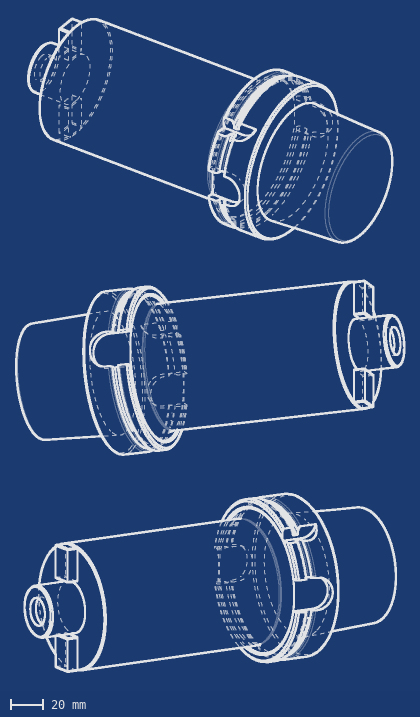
import cadquery as cq

total_length = 234.0
pilot_length = 24.0
flange_width = 29.5
taper_length = 49.5
flange_back = total_length - taper_length
flange_front = flange_back - flange_width

pilot_radius = 32.0 / 2
pilot_chamfer_length = 1.2
pilot_chamfer_rise = 0.7
screw_hole_diameter = 17.0
screw_hole_depth = 4.0

body_radius = 78.0 / 2
body_chamfer = 0.7
neck_radius = 77.5 / 2
neck_start = 148.1
neck_bevel = 1.2
neck_fillet = 5.5

flange_radius = 100.0 / 2
flange_chamfer = 1.2
face_relief_radius = 45.5
face_relief_depth = 0.58
groove_center = 164.3
groove_mouth = 5.8
groove_bevel_depth = 1.9
groove_floor_width = 3.7
groove_floor_radius = 46.0
groove_mouth_fillet = 1.5
groove_floor_fillet = 1.0

taper_large_radius = 38.0
taper_small_radius = 35.5
taper_end_fillet = 1.6

key_width = 14.0
key_height = 7.0
key_inner = 17.3
key_outer = 38.4
key_end_chamfer = 0.58

slot_floor = 44.0
slot_end = 179.5
slot_corner_radius = 10.0
near_slot_width = 2 * slot_corner_radius
far_slot_width = 22.0

notch_offset = 31.4
notch_run = 169.0
notch_radius = 10.0


def circle_at(x):
    """Selector for the full circular edges centred on the axis at position x."""
    tolerance = 0.02
    return cq.selectors.BoxSelector(
        (x - tolerance, -tolerance, -tolerance), (x + tolerance, tolerance, tolerance)
    )


def revolved_body():
    """Turned shape: the half outline revolved about the X axis."""
    relief_x = flange_front + face_relief_depth
    outline = (
        cq.Workplane("XY")
        .lineTo(0, pilot_radius - pilot_chamfer_rise)
        .lineTo(pilot_chamfer_length, pilot_radius)
        .lineTo(pilot_length, pilot_radius)
        .lineTo(pilot_length, body_radius - body_chamfer)
        .lineTo(pilot_length + body_chamfer, body_radius)
        .lineTo(neck_start, body_radius)
        .lineTo(neck_start + neck_bevel, neck_radius)
        .lineTo(relief_x - neck_fillet, neck_radius)
        .radiusArc((relief_x, neck_radius + neck_fillet), -neck_fillet)
        .lineTo(flange_front, face_relief_radius)
        .lineTo(flange_front, flange_radius - flange_chamfer)
        .lineTo(flange_front + flange_chamfer, flange_radius)
        .lineTo(flange_back - flange_chamfer, flange_radius)
        .lineTo(flange_back, flange_radius - flange_chamfer)
        .lineTo(flange_back, taper_large_radius)
        .lineTo(total_length, taper_small_radius)
        .lineTo(total_length, 0)
        .close()
    )
    turned = outline.revolve(360, (0, 0, 0), (1, 0, 0))
    return turned.faces(">X").edges().fillet(taper_end_fillet)


def cut_gripper_groove(body):
    """Square-walled groove with a bevelled, rounded mouth and rounded floor corners."""
    mouth_edges = (groove_center - groove_mouth / 2, groove_center + groove_mouth / 2)
    floor_edges = (groove_center - groove_floor_width / 2, groove_center + groove_floor_width / 2)
    wall_top = flange_radius - groove_bevel_depth
    outline = (
        cq.Workplane("XY")
        .moveTo(mouth_edges[0], flange_radius)
        .lineTo(floor_edges[0], wall_top)
        .lineTo(floor_edges[0], groove_floor_radius + groove_floor_fillet)
        .radiusArc((floor_edges[0] + groove_floor_fillet, groove_floor_radius), -groove_floor_fillet)
        .lineTo(floor_edges[1] - groove_floor_fillet, groove_floor_radius)
        .radiusArc((floor_edges[1], groove_floor_radius + groove_floor_fillet), -groove_floor_fillet)
        .lineTo(floor_edges[1], wall_top)
        .lineTo(mouth_edges[1], flange_radius)
        .close()
    )
    grooved = body.cut(outline.revolve(360, (0, 0, 0), (1, 0, 0)))
    for x in mouth_edges:
        grooved = grooved.edges(circle_at(x)).fillet(groove_mouth_fillet)
    return grooved


def screw_hole():
    return cq.Workplane("YZ").circle(screw_hole_diameter / 2).extrude(screw_hole_depth)


def drive_key(side):
    """Block standing on the body face; side is +1 above the axis, -1 below."""
    block = (
        cq.Workplane("YZ", origin=(pilot_length - key_height, 0, 0))
        .center(0, side * (key_inner + key_outer) / 2)
        .rect(key_width, key_outer - key_inner)
        .extrude(key_height + body_chamfer)
    )
    end_edges = block.faces(">Z or <Z").edges("not >X")
    return end_edges.chamfer(key_end_chamfer)


def drive_slot(side, width):
    """Slot open at the flange front with a rounded inner end; side is the sign of Y."""
    half_width = width / 2
    corner_start = slot_end - slot_corner_radius
    half_flat = half_width - slot_corner_radius
    outline = (
        cq.Workplane("XZ")
        .moveTo(neck_start, -half_width)
        .lineTo(corner_start, -half_width)
        .radiusArc((slot_end, -half_flat), -slot_corner_radius)
    )
    if half_flat > 0:
        outline = outline.lineTo(slot_end, half_flat)
    outline = (
        outline.radiusArc((corner_start, half_width), -slot_corner_radius)
        .lineTo(neck_start, half_width)
        .close()
    )
    slot_prism = outline.extrude(-side * flange_radius)
    return slot_prism.translate((0, side * slot_floor, 0))


def corner_notch():
    """Right-angled notch at (-Y, +Z) whose floor sweeps up at its inner end."""
    depth = flange_radius
    return (
        cq.Workplane("XZ", origin=(0, -notch_offset, 0))
        .moveTo(neck_start, notch_offset)
        .lineTo(notch_run, notch_offset)
        .radiusArc((notch_run + notch_radius, notch_offset + notch_radius), -notch_radius)
        .lineTo(notch_run + notch_radius, notch_offset + depth)
        .lineTo(neck_start, notch_offset + depth)
        .close()
        .extrude(depth)
    )


result = cut_gripper_groove(revolved_body()).cut(screw_hole())
for key_side in (1, -1):
    result = result.union(drive_key(key_side))
result = (
    result.cut(drive_slot(-1, near_slot_width))
    .cut(drive_slot(1, far_slot_width))
    .cut(corner_notch())
)